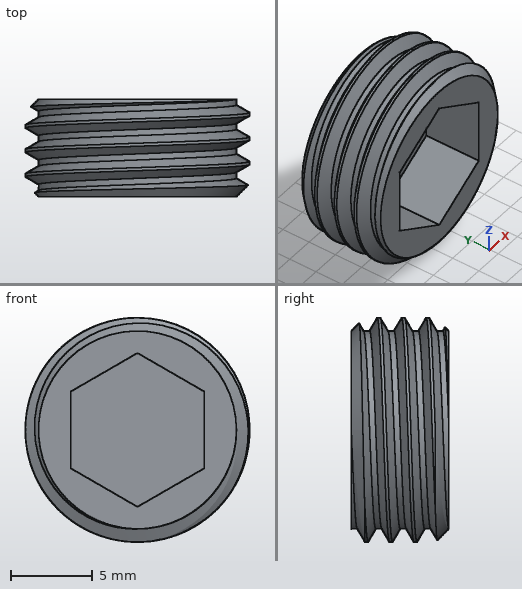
import cadquery as cq
import math

outer_diameter = 13.8
length = 6.0
thread_turns_in_length = 4
thread_depth = 0.81
end_margin = 0.007
flank_angle = 30.0
socket_across_flats = 8.18
socket_depth = 4.0
crest_at_top = 1.7

pitch = length / thread_turns_in_length
crest_width = pitch / 8
outer_radius = outer_diameter / 2
root_radius = outer_radius - thread_depth
end_chamfer = thread_depth + end_margin


def make_blank():
    """Cylinder with 45 degree chamfers reaching just below the thread root."""
    return (
        cq.Workplane("XY")
        .circle(outer_radius)
        .extrude(length)
        .faces("<Z or >Z")
        .chamfer(end_chamfer)
    )


def make_groove_turn():
    """One right-hand turn of the thread groove, starting on the side that becomes +Z."""
    outside_clearance = 0.07
    flank_slope = math.tan(math.radians(flank_angle))
    mouth_half = (pitch - crest_width) / 2
    root_half = mouth_half - thread_depth * flank_slope
    outside_half = mouth_half + outside_clearance * flank_slope
    outside_radius = outer_radius + outside_clearance

    helix = cq.Wire.makeHelix(pitch, pitch, root_radius)
    groove = (
        cq.Workplane("XZ")
        .polyline([
            (root_radius, -root_half),
            (outside_radius, -outside_half),
            (outside_radius, outside_half),
            (root_radius, root_half),
        ])
        .close()
        .sweep(cq.Workplane(helix), isFrenet=True)
    )
    return groove.rotate((0, 0, 0), (0, 0, 1), -90)


def cut_thread(body):
    """Cut the groove turn by turn, overrunning both ends of the body."""
    overrun_turns = 1
    first_start = crest_at_top - (overrun_turns + 1.5) * pitch
    groove_turn = make_groove_turn()
    for turn in range(thread_turns_in_length + 2 * overrun_turns):
        body = body.cut(groove_turn.translate((0, 0, first_start + turn * pitch)))
    return body


def make_socket():
    """Blind hexagon with corners up and down."""
    across_corners = socket_across_flats / math.cos(math.pi / 6)
    return (
        cq.Workplane("XY")
        .transformed(rotate=(0, 0, 90))
        .polygon(6, across_corners)
        .extrude(socket_depth)
    )


plug = cut_thread(make_blank()).cut(make_socket())

result = plug.rotate((0, 0, 0), (1, 0, 0), -90)